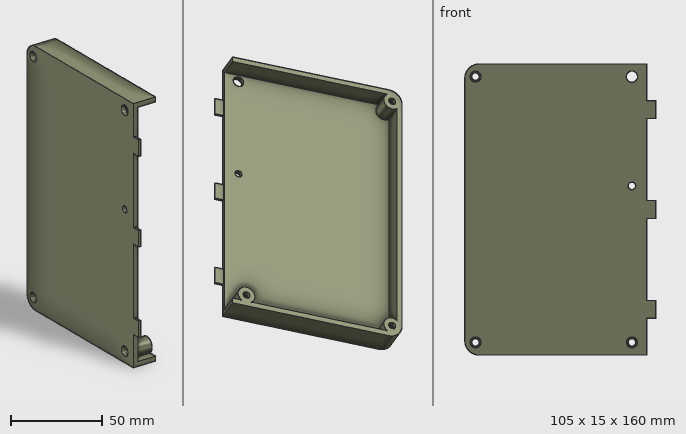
import cadquery as cq

height = 160.0
depth = 15.0
body_width = 100.0
corner_radius = 8.0
floor_thickness = 3.0
wall_thickness = 3.0

tab_reach = 5.0
tab_height = 10.0
tab_thickness = 1.5
tab_pitch = 54.9
middle_tab_z = 80.0
tab_overlap = 1.6

left_hole_x = 6.0
right_hole_x = 91.8
hole_edge_distance = 7.0
bore_diameter = 6.0
screw_diameter = 4.0
boss_diameter = 10.0
bore_depth = 12.0
low_z = hole_edge_distance
high_z = height - hole_edge_distance
screw_places = [(left_hole_x, low_z), (left_hole_x, high_z), (right_hole_x, low_z)]

pin_hole_z = 93.0
pin_hole_diameter = 4.0


def rounded_plate(x_start, x_end, margin, radius, y_start, y_end):
    """Plate in XZ with rounded -X corners, spanning y_start to y_end."""
    return (
        cq.Workplane("XY")
        .box(x_end - x_start, y_end - y_start, height - 2 * margin, centered=False)
        .translate((x_start, y_start, margin))
        .edges("|Y and <X")
        .fillet(radius)
    )


def cylinder(place, diameter, y_start, y_end):
    """Cylinder along +Y centred on an (x, z) place."""
    x, z = place
    start = cq.Vector(x, y_start, z)
    direction = cq.Vector(0, 1, 0)
    return cq.Workplane(cq.Solid.makeCylinder(diameter / 2, y_end - y_start, start, direction))


outline = rounded_plate(0, body_width, 0, corner_radius, 0, depth)
cavity = rounded_plate(
    wall_thickness,
    body_width,
    wall_thickness,
    corner_radius - wall_thickness,
    floor_thickness,
    depth,
)
tray = outline.cut(cavity)

for place in screw_places:
    boss = cylinder(place, boss_diameter, 0, depth).intersect(outline)
    tray = tray.union(boss)

for step in (-1, 0, 1):
    tab = cq.Workplane("XY").box(
        tab_reach + tab_overlap, tab_thickness, tab_height, centered=(False, False, True)
    )
    tray = tray.union(tab.translate((body_width - tab_overlap, 0, middle_tab_z + step * tab_pitch)))

for place in screw_places:
    tray = tray.cut(cylinder(place, bore_diameter, 0, bore_depth))
    tray = tray.cut(cylinder(place, screw_diameter, 0, depth))

tray = tray.cut(cylinder((right_hole_x, high_z), bore_diameter, 0, depth))
tray = tray.cut(cylinder((right_hole_x, pin_hole_z), pin_hole_diameter, 0, depth))

result = tray